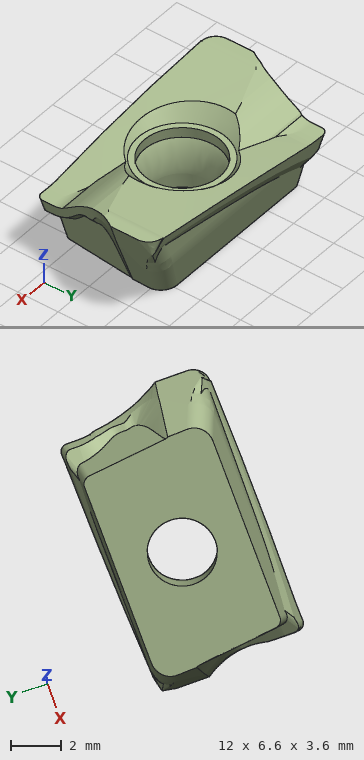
import cadquery as cq
import math


length = 12.0
height = 3.6
half_length = length / 2
margin = 1.2
corner_bow = 1 - math.sqrt(0.5)

high_flat_end_x = -5.51
high_slope_start = (-5.22, 3.56)
middle_z = 2.96
low_slope_end = (3.89, 2.36)
low_ease_end = (4.14, 2.34)
low_flat_start_x = 4.43
low_z = 2.33

groove_floor_y = 2.48
groove_floor_end = (1.97, 2.44)
groove_wall_bottom = (1.9, 2.51)
groove_wall_top = (1.26, 2.92)
groove_crown_end = (0.31, 3.38)
groove_top_y = -0.49

side_draft = math.tan(math.radians(12))
high_end_draft = math.tan(math.radians(20))
hollow_draft = math.tan(math.radians(14))
rim_high_y = 3.12
rim_middle_y = 3.28
rim_low_y = 3.3
rim_low_x = 5.15
rim_high_radius = 0.72
rim_low_radius = 0.34
tip_radius = 0.06
tip_z = 2.85
corner_foot_radius = 1.5
hollow_start_y = -1.74
hollow_middle = (5.36, -0.3)
hollow_middle_z = 3.38
hollow_end_y = 1.07

side_undercut_high = (-44.0, 3.04, 3.15, 0.3)
side_undercut_middle = (-0.84, 3.15, 2.64, 0.44)
side_undercut_low = (34.0, 3.12, 1.44, 0.64)
end_undercut = [
    (-2.47, 5.09, 1.8, 1.4),
    (-1.95, 5.03, 1.92, 1.3),
    (-1.26, 5.06, 2.42, 1.15),
    (-0.66, 5.16, 2.75, 1.15),
    (-0.3, 5.21, 2.87, 0.66),
    (0.23, 5.4, 3.0, 0.45),
    (1.08, 5.83, 3.06, 0.405),
]
undercut_low_radius = 0.18
undercut_high_radius = 0.06

base_half_width = 2.7
base_draft = math.tan(math.radians(9.7))
side_bend_bottom_z = 1.61
side_bend_top_z = 2.17
base_high_x = 4.56
base_high_draft = 0.4
base_high_turn = 2.0
base_low_x = 4.42
base_low_draft = 0.215
base_top_z = 3.0
base_step_y = 1.08
base_low_turn = 6.4
base_high_radius = 0.82
base_low_radius = 0.38

hole_radius = 1.38
seat_radius = 1.87
ledge_radius = 2.16
ledge_z = 2.64
seat_top_z = 2.15
seat_bottom_z = 0.7


def half_turn(shape):
    return shape.rotate((0, 0, 0), (0, 0, 1), 180)


def outline(level, side, low_x, low_radius, end_curve_with_ends, high_x, high_radius):
    """Closed outline at one level from the three side points, the end and two corner radii."""
    high_y, middle, low_y = side
    high_start = (-high_x + high_radius, -high_y)
    low_start = (low_x - low_radius, -low_y)
    low_corner = (low_x - corner_bow * low_radius, -low_y + corner_bow * low_radius)
    low_end = (low_x, -low_y + low_radius)
    high_corner = (high_x - corner_bow * high_radius, high_y - corner_bow * high_radius)
    high_begin = (high_x, high_y - high_radius)

    def point(xy):
        return cq.Vector(xy[0], xy[1], level)

    edges = [
        cq.Edge.makeThreePointArc(point(high_start), point(middle), point(low_start)),
        cq.Edge.makeThreePointArc(point(low_start), point(low_corner), point(low_end)),
    ]
    end, end_start, end_stop = end_curve_with_ends(point)
    edges.append(cq.Edge.makeLine(point(low_end), end_start))
    edges.append(end)
    edges.append(cq.Edge.makeLine(end_stop, point(high_begin)))
    high_finish = (high_x - high_radius, high_y)
    edges.append(cq.Edge.makeThreePointArc(point(high_begin), point(high_corner), point(high_finish)))
    return cq.Wire.assembleEdges(edges + [half_turn(edge) for edge in edges])


def loft(wire_at):
    return cq.Workplane(cq.Solid.makeLoft([wire_at(0), wire_at(height)], True))


def drafted(distance, edge_z, draft, level):
    """Distance at a level of a face leaning outwards to the given distance at edge_z."""
    return distance - draft * (edge_z - level)


def rim_outline(level):
    """Outline of the land: drafted sides and an end hollowed by an arc."""

    def inward(distance, edge_z, draft):
        return drafted(distance, edge_z, draft, level)

    low_x = inward(rim_low_x, low_z, side_draft)
    high_x = inward(half_length, height, high_end_draft)

    def hollow(point):
        start = point((low_x, hollow_start_y))
        middle = point((inward(hollow_middle[0], hollow_middle_z, hollow_draft), hollow_middle[1]))
        stop = point((high_x, hollow_end_y))
        return cq.Edge.makeThreePointArc(start, middle, stop), start, stop

    side = (
        inward(rim_high_y, height, side_draft),
        (0, -inward(rim_middle_y, middle_z, side_draft)),
        inward(rim_low_y, low_z, side_draft),
    )
    return outline(level, side, low_x, rim_low_radius, hollow, high_x, tip_radius)


def high_corner_trim(bottom_z, bottom_radius, top_z, top_radius):
    """Waste outside a corner rounding of the rim whose radius changes with height."""

    def waste_outline(level, radius):
        x = drafted(half_length, height, high_end_draft, level)
        y = drafted(rim_high_y, height, side_draft, level)
        inset = corner_bow * radius
        return (
            cq.Workplane("XY", origin=(0, 0, level))
            .moveTo(x, y - radius)
            .threePointArc((x - inset, y - inset), (x - radius, y))
            .lineTo(x - radius, y + margin)
            .lineTo(x + margin, y + margin)
            .lineTo(x + margin, y - radius)
            .close()
            .val()
        )

    wires = [waste_outline(bottom_z, bottom_radius), waste_outline(top_z, top_radius)]
    return cq.Workplane(cq.Solid.makeLoft(wires, True))


def undercut_outline(level):
    """Outline of the steeper faces that cut back below the land."""

    def outward(station):
        _, distance, station_z, slope = station
        return distance + slope * (level - station_z)

    def end_curve(point):
        points = [point((outward(station), station[0])) for station in end_undercut]
        return cq.Edge.makeSpline(points), points[0], points[-1]

    side = (
        outward(side_undercut_high),
        (side_undercut_middle[0], -outward(side_undercut_middle)),
        outward(side_undercut_low),
    )
    low_x = outward(end_undercut[0])
    high_x = outward(end_undercut[-1])
    return outline(level, side, low_x, undercut_low_radius, end_curve, high_x, undercut_high_radius)


def drafted_ends(foot_x, draft, turn=0):
    """Prism along Y, turned clockwise about Z, whose two end faces lean outwards."""
    top_x = foot_x + draft * height
    return (
        cq.Workplane("XZ")
        .polyline([(-foot_x, 0), (foot_x, 0), (top_x, height), (-top_x, height)])
        .close()
        .extrude(length, both=True)
        .rotate((0, 0, 0), (0, 0, 1), -turn)
    )


def base_ends():
    """Turned end faces, with the drafted high corners standing proud of them."""
    low_ends = drafted_ends(base_low_x, base_low_draft, base_low_turn)
    high_side = cq.Workplane("XY").box(length, length, 3 * height).translate(
        (half_length, base_step_y + half_length, 0)
    )
    high_corner = drafted_ends(base_high_x, base_high_draft, base_high_turn).intersect(high_side)
    low_ends = low_ends.cut(high_side).cut(half_turn(high_side))
    return low_ends.union(high_corner).union(half_turn(high_corner))


def base_sides():
    """Prism along X: drafted flanks that bend tangentially to vertical."""
    bend_y = base_half_width + base_draft * side_bend_bottom_z
    bend_height = side_bend_top_z - side_bend_bottom_z
    wall_y = bend_y + base_draft * bend_height / 2
    return (
        cq.Workplane("YZ", origin=(-length, 0, 0))
        .moveTo(-base_half_width, 0)
        .lineTo(base_half_width, 0)
        .lineTo(bend_y, side_bend_bottom_z)
        .tangentArcPoint((wall_y, side_bend_top_z), relative=False)
        .lineTo(wall_y, base_top_z)
        .lineTo(-wall_y, base_top_z)
        .lineTo(-wall_y, side_bend_top_z)
        .tangentArcPoint((-bend_y, side_bend_bottom_z), relative=False)
        .close()
        .extrude(2 * length)
    )


def corner_edges(body, corner_is_low):
    """Upright edges of the body at either its low or its high corners."""

    def belongs(edge):
        start, stop = edge.startPoint(), edge.endPoint()
        center = edge.Center()
        upright = abs(start.z - stop.z) > base_low_radius / 2
        at_corner = abs(center.y) > base_half_width and abs(center.x) > base_low_x / 2
        return upright and at_corner and (center.x * center.y < 0) == corner_is_low

    return body.newObject([edge for edge in body.edges().vals() if belongs(edge)])


def lower_body():
    body = base_ends().intersect(base_sides())
    body = corner_edges(body, True).fillet(base_low_radius)
    body = corner_edges(body, False).fillet(base_high_radius)
    limit_foot_x = half_length - high_end_draft * height
    return body.intersect(drafted_ends(limit_foot_x, high_end_draft))


def under_slope():
    """Space below the roof that slopes down towards +X."""
    reach = half_length + margin
    return (
        cq.Workplane("XZ")
        .moveTo(-reach, -margin)
        .lineTo(-reach, height)
        .lineTo(high_flat_end_x, height)
        .tangentArcPoint(high_slope_start, relative=False)
        .threePointArc((0, middle_z), low_slope_end)
        .lineTo(*low_ease_end)
        .lineTo(low_flat_start_x, low_z)
        .lineTo(reach, low_z)
        .lineTo(reach, -margin)
        .close()
        .extrude(length, both=True)
    )


def under_groove():
    """Space below the chip groove of the -X end."""
    return (
        cq.Workplane("YZ", origin=(-length, 0, 0))
        .moveTo(length, -margin)
        .lineTo(length, low_z)
        .lineTo(groove_floor_y, low_z)
        .tangentArcPoint(groove_floor_end, relative=False)
        .lineTo(*groove_wall_bottom)
        .lineTo(*groove_wall_top)
        .tangentArcPoint(groove_crown_end, relative=False)
        .lineTo(groove_top_y, height)
        .lineTo(-length, height)
        .lineTo(-length, -margin)
        .close()
        .extrude(length)
    )


def under_roof():
    """Space below both slopes and both chip grooves."""
    slope = under_slope()
    left_space = cq.Workplane("XY").box(length, 2 * length, 3 * length).translate((-half_length, 0, 0))
    grooved = slope.intersect(under_groove())
    left = grooved.union(half_turn(slope)).intersect(left_space)
    return left.union(half_turn(left))


def screw_seat():
    depth = seat_top_z - seat_bottom_z
    flare = seat_radius - hole_radius
    arc_radius = (depth**2 + flare**2) / (2 * flare)
    half_angle = math.asin(depth / arc_radius) / 2
    arc_middle = (
        hole_radius + arc_radius * (1 - math.cos(half_angle)),
        seat_bottom_z + arc_radius * math.sin(half_angle),
    )
    cone_top_z = height + margin
    return (
        cq.Workplane("XZ")
        .moveTo(0, -margin)
        .lineTo(hole_radius, -margin)
        .lineTo(hole_radius, seat_bottom_z)
        .threePointArc(arc_middle, (seat_radius, seat_top_z))
        .lineTo(seat_radius, ledge_z)
        .lineTo(ledge_radius, ledge_z)
        .lineTo(ledge_radius + cone_top_z - ledge_z, cone_top_z)
        .lineTo(0, cone_top_z)
        .close()
        .revolve(360, (0, 0, 0), (0, 1, 0))
    )


rim = loft(rim_outline).intersect(loft(undercut_outline))
for trim in (
    high_corner_trim(tip_z, tip_radius, height, rim_high_radius),
    high_corner_trim(0, corner_foot_radius, tip_z, tip_radius),
):
    rim = rim.cut(trim).cut(half_turn(trim))
blank = rim.union(lower_body())
result = blank.intersect(under_roof()).cut(screw_seat())